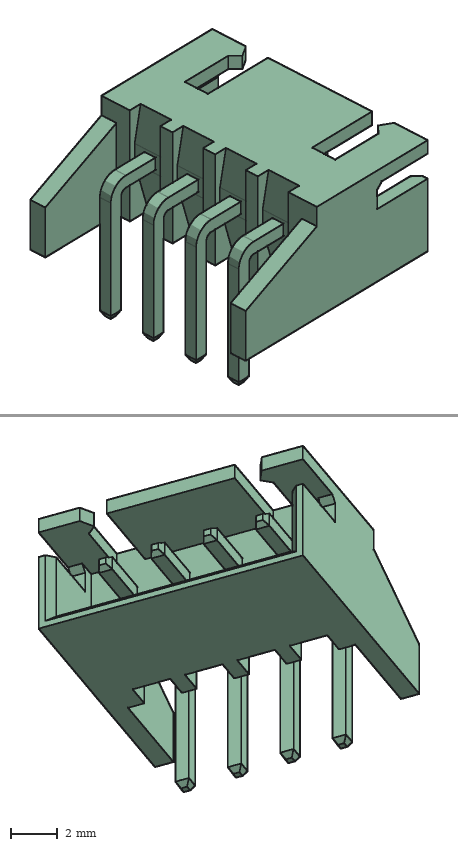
import cadquery as cq

width = 12.6
total_depth = 11.5
block_depth = 7.0
height = 5.75
block_front = -block_depth

pin_count = 4
pitch = 2.5
pin_size = 0.64
pin_axis_z = 3.39
pin_tail_axis_y = -9.2
pin_tail_length = 3.4
pin_contact_end_y = -1.02
bend_outer_radius = 0.96
bend_inner_radius = bend_outer_radius - pin_size
tip_length = 0.3
tip_inset = 0.16
pin_centers = [(i - (pin_count - 1) / 2) * pitch for i in range(pin_count)]

side_wall = 0.68
floor_thickness = 0.65
roof_thickness = 0.7
cavity_depth = 3.79
cavity_top = height - roof_thickness
cavity_half_width = width / 2 - side_wall
lead_in = 0.35

side_window_bottom = 3.75
side_window_depth = 3.2
side_window_chamfer = 0.3

latch_slot_inner = 3.05
latch_slot_outer = 4.4
hook_protrusion = 0.44
hook_tip_y = -0.63
hook_nose_inset = 0.06
hook_end_y = -1.03

pocket_width = 1.79
pocket_top_depth = 0.68
pocket_bottom_depth = 1.16
pocket_band_depth = 0.3
band_bottom = 2.89
band_top = 2 * pin_axis_z - band_bottom

ear_thickness = 0.88
ear_rear_height = 4.74
ear_front_height = 2.58


def extrude_across(profile, x_center, x_width):
    """Extrude a (Y, Z) outline along X, centred on x_center."""
    face = cq.Workplane("YZ", origin=(x_center - x_width / 2, 0, 0))
    return face.polyline(profile).close().extrude(x_width)


def cavity_section(y, flare):
    """Cavity cross-section at y, widened by flare at the floor and both sides but not at the roof."""
    half_width = cavity_half_width + flare
    bottom = floor_thickness - flare
    corners = [
        (-half_width, bottom),
        (half_width, bottom),
        (half_width, cavity_top),
        (-half_width, cavity_top),
    ]
    return cq.Wire.makePolygon([cq.Vector(x, y, z) for x, z in corners], close=True)


def mating_cavity():
    """Box cavity open at the mating face, with a lead-in along the floor and both sides."""
    shaft = cq.Solid.makeLoft([cavity_section(-cavity_depth, 0), cavity_section(0, 0)], True)
    lead_in_flare = cq.Solid.makeLoft([cavity_section(-lead_in, 0), cavity_section(0, lead_in)], True)
    return cq.Workplane(shaft).union(cq.Workplane(lead_in_flare))


def side_windows():
    """Openings through both side walls, chamfered at the inner upper corner."""
    profile = [
        (0, side_window_bottom),
        (-side_window_depth, side_window_bottom),
        (-side_window_depth, cavity_top - side_window_chamfer),
        (-side_window_depth + side_window_chamfer, cavity_top),
        (0, cavity_top),
    ]
    return extrude_across(profile, 0, width)


def latch_slot(side):
    """Slot through the roof whose outer edge carries a pointed hook at the mating face."""
    outline = [
        (side * latch_slot_inner, 0),
        (side * latch_slot_inner, -cavity_depth),
        (side * latch_slot_outer, -cavity_depth),
        (side * latch_slot_outer, hook_end_y),
        (side * (latch_slot_outer - hook_protrusion), hook_tip_y),
        (side * (latch_slot_outer - hook_nose_inset), 0),
    ]
    roof_underside = cq.Workplane("XY", origin=(0, 0, cavity_top))
    return roof_underside.polyline(outline).close().extrude(roof_thickness)


def front_pocket(x_center):
    """Full-height pocket, sloping deeper above and below a shallow band behind the contact."""
    profile = [
        (block_front, 0),
        (block_front + pocket_bottom_depth, 0),
        (block_front + pocket_band_depth, band_bottom),
        (block_front + pocket_band_depth, band_top),
        (block_front + pocket_top_depth, height),
        (block_front, height),
    ]
    return extrude_across(profile, x_center, pocket_width)


def ear(side):
    """Side plate that extends the side wall forward with a sloping top."""
    profile = [
        (block_front, 0),
        (-total_depth, 0),
        (-total_depth, ear_front_height),
        (block_front, ear_rear_height),
    ]
    return extrude_across(profile, side * (width - ear_thickness) / 2, ear_thickness)


def pin_hole(x_center):
    """Square hole that carries a contact through the front wall."""
    hole = cq.Workplane("XY").box(pin_size, block_depth, pin_size)
    return hole.translate((x_center, -block_depth / 2, pin_axis_z))


def make_housing():
    """Block with its cavity, windows, latch slots, ears, front pockets and contact holes."""
    housing = cq.Workplane("XY").box(width, block_depth, height, centered=(True, False, False))
    housing = housing.translate((0, block_front, 0))
    housing = housing.cut(mating_cavity()).cut(side_windows())
    for side in (-1, 1):
        housing = housing.cut(latch_slot(side)).union(ear(side))
    for x_center in pin_centers:
        housing = housing.cut(front_pocket(x_center)).cut(pin_hole(x_center))
    return housing


def pin_tip(plane):
    """Square taper that grows from a plane centred on the shoulder of a contact."""
    tip_size = pin_size - 2 * tip_inset
    base = cq.Workplane(plane).rect(pin_size, pin_size)
    return base.workplane(offset=tip_length).rect(tip_size, tip_size).loft()


def make_pin(x_center):
    """Right-angle square contact with a tapered tip at both ends."""
    half = pin_size / 2
    top = pin_axis_z + half
    underside = pin_axis_z - half
    front = pin_tail_axis_y - half
    rear = pin_tail_axis_y + half
    contact_shoulder = pin_contact_end_y - tip_length
    tail_shoulder = tip_length - pin_tail_length
    bend_y = front + bend_outer_radius
    bend_z = top - bend_outer_radius

    pin = (
        cq.Workplane("YZ", origin=(x_center - half, 0, 0))
        .moveTo(contact_shoulder, top)
        .lineTo(bend_y, top)
        .radiusArc((front, bend_z), -bend_outer_radius)
        .lineTo(front, tail_shoulder)
        .lineTo(rear, tail_shoulder)
        .lineTo(rear, bend_z)
        .radiusArc((bend_y, underside), bend_inner_radius)
        .lineTo(contact_shoulder, underside)
        .close()
        .extrude(pin_size)
    )
    contact_end = cq.Plane(origin=(x_center, contact_shoulder, pin_axis_z), xDir=(1, 0, 0), normal=(0, 1, 0))
    tail_end = cq.Plane(origin=(x_center, pin_tail_axis_y, tail_shoulder), xDir=(1, 0, 0), normal=(0, 0, -1))
    return pin.union(pin_tip(contact_end)).union(pin_tip(tail_end))


housing = make_housing()
pins = [make_pin(x_center).val() for x_center in pin_centers]

result = cq.Compound.makeCompound([housing.val(), *pins])